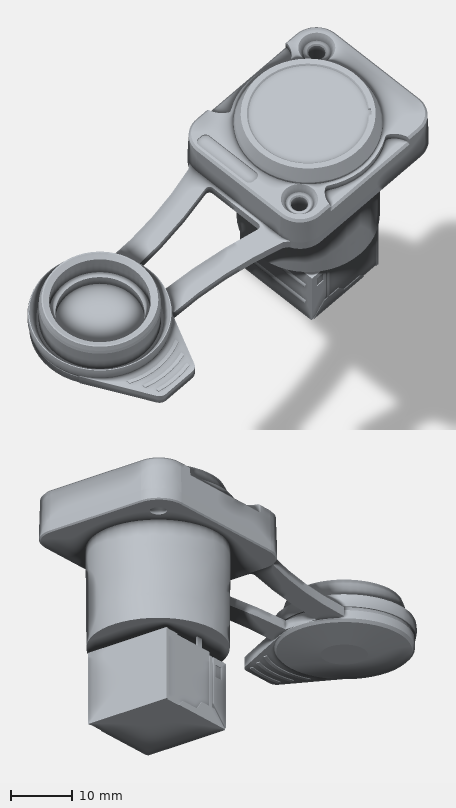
import cadquery as cq
import math


OVERALL_LENGTH = 77.75
OVERLAP = 0.8

FLANGE_X = 28.4
FLANGE_Y = 33.1
FLANGE_CORNER = 4.75
FLANGE_TOP = 7.8
FLANGE_EDGE = 0.4
FLANGE_DRAFT = 2.0
GASKET_TOP = 2.0
GASKET_EDGE = 0.2

SCREW_X = 9.5
SCREW_Y = 12.0
SCREW_R = 1.4
SCREW_SEAT_R = 2.25
SCREW_MOUTH_R = 3.0
SCREW_CONE_DEPTH = 1.2
SCREW_LEAD_IN = 0.2

RECESS_FLOOR = 6.45
RECESS_ARC_R = 12.9
RECESS_HALF_LENGTH = 9.3
RECESS_SHOULDER = (11.9, 8.5)
RECESS_INNER_Y = 7.1
RECESS_INNER_FILLET = 0.6

LABEL_X = -4.7
LABEL_Y = -14.2
LABEL_LENGTH = 12.4
LABEL_WIDTH = 2.6
LABEL_CORNER = 0.9
LABEL_DEPTH = 0.2

BEZEL_R = 12.2
BEZEL_LIP_R = 11.05
BEZEL_CONE_BASE = 8.25
BEZEL_TOP = 10.6
FACE_R = 9.8
FACE_RIM_R = 10.0
FACE_DEPTH = 0.2
KEY_REACH = 10.35
KEY_WIDTH = 1.25
KEY_ANGLE = 46
BARREL_TOP_R = 11.9
BARREL_BOTTOM_R = 11.7
BARREL_BOTTOM = -17.65

MODULE_X = 0.15
MODULE_WIDTH = 16.3
MODULE_INSET = 0.15
MODULE_BACK = 7.9
MODULE_FRONT = -7.8
MODULE_BOTTOM = -31.9
BODY_FRONT = -3.6
BODY_TOP = -19.3
BACK_LEDGE_FRONT = 4.8
BACK_LEDGE_TOP = -19.05
BACK_PLATE = 0.5
COVER_TOP = -20.0
COVER_BACK = -4.4
COVER_SIDE_BOTTOM = -28.3
COVER_CORNER = 0.3
SEAM_BAR_WIDTH = 0.5
LEG_THICKNESS = 0.3
LEG_BACK = -0.5
LEG_FRONT = -1.7
CLIP_PROFILE = [(4.6, MODULE_BOTTOM), (3.6, -30.8), (-0.15, -30.8), (-1.4, -29.15),
                (-4.8, -29.15), (-7.5, MODULE_BOTTOM)]
WINDOW_Y = -5.8
WINDOW_Z = -22.2
WINDOW_WIDTH = 1.55
WINDOW_HEIGHT = 2.2
WINDOW_DEPTH = 0.15
RIB_LENGTH = 13.05
RIB_X = 0.4
RIB_HALF_HEIGHT = 0.55
RIB_RISE = 0.2
RIB_LEVELS = (-23.5, -28.0)

CAP_R = 11.9
CAP_Y = FLANGE_Y / 2 - OVERALL_LENGTH + CAP_R
CAP_DISC_R = 11.6
CAP_NECK_R = 11.4
CAP_DOME_R = 11.1
CAP_DOME_EDGE = -0.15
CAP_DOME_LOW = -0.85
CAP_DOME_FLAT_R = 3.9
CAP_DISC_BOTTOM = 0.3
CAP_DISC_TOP = 1.8
CAP_RIM_BOTTOM = 2.4
CAP_RIM_TOP = 4.6
CAP_RIM_CROWN = 0.15
CAP_RIM_LIP_R = 11.6
CAP_GROOVE_R = 10.4
CAP_GROOVE_FLOOR = 2.65
CAP_RING_R = 10.0
CAP_RING_SHOULDER = 6.9
CAP_RING_BEVEL = (9.9, 7.5)
CAP_RING_LIP_R = 9.6
CAP_RING_LIP_INNER_R = 9.3
CAP_TOP = 8.25
CAP_BORE_R = 8.3
CAP_BORE_TOP = 7.8
CAP_LEDGE = 4.2
CAP_WELL_R = 7.3
CAP_FLOOR = 2.3

STRAP_BOTTOM = 0.4
STRAP_ROOT = (11.5, -16.0)
STRAP_OUTER = [(10.65, -17.2), (8.6, -26.05), (7.55, -39.65)]
STRAP_INNER = [(6.15, -17.2), (4.2, -27.05), (3.2, -37.8)]
STRAP_INNER_CORNER = 0.8

TAB_END_X = 17.95
TAB_END_HALF = 4.05
TAB_ROOT = (5.4, 10.35)
TAB_CORNER = 1.55
TAB_BOTTOM = 0.2
TAB_TOP = 2.1
GRIP_WIDTH = 0.6
GRIP_RISE = 0.15
GRIPS = [(13.2, 5.75), (15.1, 4.6), (16.9, 3.65)]


def box(x0, x1, y0, y1, z0, z1):
    return cq.Workplane("XY").box(x1 - x0, y1 - y0, z1 - z0, centered=False).translate((x0, y0, z0))


def rounded_block(z0, z1, draft=0):
    outline = cq.Sketch().rect(FLANGE_X, FLANGE_Y).vertices().fillet(FLANGE_CORNER)
    return cq.Workplane("XY", origin=(0, 0, z0)).placeSketch(outline).extrude(z1 - z0, taper=draft)


def side_recess():
    """Cutter on the -X side, bounded inside by an arc around the bezel."""
    inner_x = math.sqrt(RECESS_ARC_R**2 - RECESS_INNER_Y**2)
    mouth_x = FLANGE_X / 2
    shoulder_x, shoulder_y = RECESS_SHOULDER
    return (
        cq.Workplane("XY", origin=(0, 0, GASKET_TOP))
        .moveTo(-mouth_x, RECESS_HALF_LENGTH)
        .threePointArc((-shoulder_x, shoulder_y), (-inner_x, RECESS_INNER_Y))
        .threePointArc((-RECESS_ARC_R, 0), (-inner_x, -RECESS_INNER_Y))
        .threePointArc((-shoulder_x, -shoulder_y), (-mouth_x, -RECESS_HALF_LENGTH))
        .close()
        .extrude(FLANGE_TOP)
        .edges("|Z and >X")
        .fillet(RECESS_INNER_FILLET)
    )


def screw_hole(x, y):
    seat_z = FLANGE_TOP - SCREW_CONE_DEPTH
    profile = [
        (0, -OVERLAP), (SCREW_R, -OVERLAP),
        (SCREW_R, seat_z - SCREW_LEAD_IN), (SCREW_R + SCREW_LEAD_IN, seat_z),
        (SCREW_SEAT_R, seat_z),
        (SCREW_MOUTH_R, FLANGE_TOP), (SCREW_MOUTH_R, BEZEL_TOP), (0, BEZEL_TOP),
    ]
    return cq.Workplane("XZ").polyline(profile).close().revolve().translate((x, y, 0))


def flange():
    gasket = rounded_block(0, GASKET_TOP).faces("<Z").edges().chamfer(GASKET_EDGE)
    plate = rounded_block(GASKET_TOP, FLANGE_TOP, FLANGE_DRAFT).faces(">Z").edges().chamfer(FLANGE_EDGE)
    floor = rounded_block(GASKET_TOP, RECESS_FLOOR, FLANGE_DRAFT).faces(">Z").edges().chamfer(FLANGE_EDGE)
    recess = side_recess()
    plate = plate.cut(recess).cut(recess.mirror("YZ")).union(floor)
    label = (
        cq.Workplane("XY", origin=(LABEL_X, LABEL_Y, FLANGE_TOP - LABEL_DEPTH))
        .rect(LABEL_LENGTH, LABEL_WIDTH)
        .extrude(LABEL_DEPTH + OVERLAP)
        .edges("|Z")
        .fillet(LABEL_CORNER)
    )
    return gasket.union(plate).cut(label)


def barrel_and_bezel():
    face_z = BEZEL_TOP - FACE_DEPTH
    profile = [
        (0, BARREL_BOTTOM), (BARREL_BOTTOM_R, BARREL_BOTTOM), (BARREL_TOP_R, 0),
        (BARREL_TOP_R, GASKET_TOP), (BEZEL_R, GASKET_TOP), (BEZEL_R, BEZEL_CONE_BASE),
        (BEZEL_LIP_R, BEZEL_TOP), (FACE_RIM_R, BEZEL_TOP),
        (FACE_R, face_z), (0, face_z),
    ]
    solid = cq.Workplane("XZ").polyline(profile).close().revolve()
    key = box(0, KEY_REACH, -KEY_WIDTH / 2, KEY_WIDTH / 2, face_z, BEZEL_TOP + OVERLAP)
    return solid.cut(key.rotate((0, 0, 0), (0, 0, 1), KEY_ANGLE))


def module():
    left = MODULE_X - MODULE_WIDTH / 2
    right = left + MODULE_WIDTH
    core_left = left + MODULE_INSET
    core_right = right - MODULE_INSET

    solid = box(core_left, core_right, BODY_FRONT, MODULE_BACK, MODULE_BOTTOM, BODY_TOP)
    solid = solid.union(box(core_left, core_right, MODULE_FRONT, BODY_FRONT, MODULE_BOTTOM, COVER_TOP))
    solid = solid.union(
        box(core_left, core_right, BACK_LEDGE_FRONT, MODULE_BACK, MODULE_BOTTOM, BACK_LEDGE_TOP)
    )
    solid = solid.union(
        box(left, right, MODULE_BACK - BACK_PLATE, MODULE_BACK, MODULE_BOTTOM, BACK_LEDGE_TOP)
    )
    solid = solid.union(
        box(left, right, BODY_FRONT - SEAM_BAR_WIDTH, BODY_FRONT, MODULE_BOTTOM, COVER_TOP)
    )

    cover_profile = [
        (COVER_BACK, COVER_TOP), (MODULE_FRONT, COVER_TOP),
        (MODULE_FRONT, MODULE_BOTTOM + COVER_CORNER), (COVER_BACK, COVER_SIDE_BOTTOM),
    ]
    for profile in (cover_profile, CLIP_PROFILE):
        slab = cq.Workplane("YZ", origin=(left, 0, 0)).polyline(profile).close().extrude(MODULE_WIDTH)
        solid = solid.union(slab)

    for x in (left, right):
        window = cq.Workplane("XY").box(2 * WINDOW_DEPTH, WINDOW_WIDTH, WINDOW_HEIGHT)
        solid = solid.cut(window.translate((x, WINDOW_Y, WINDOW_Z)))

    for z in RIB_LEVELS:
        rib = (
            cq.Workplane("YZ", origin=(RIB_X - RIB_LENGTH / 2, 0, 0))
            .moveTo(MODULE_FRONT, z + RIB_HALF_HEIGHT)
            .threePointArc((MODULE_FRONT - RIB_RISE, z), (MODULE_FRONT, z - RIB_HALF_HEIGHT))
            .close()
            .extrude(RIB_LENGTH)
        )
        solid = solid.union(rib)

    for x in (core_left, core_right - LEG_THICKNESS):
        leg = box(x, x + LEG_THICKNESS, LEG_FRONT, LEG_BACK, BODY_TOP - OVERLAP, BARREL_BOTTOM + OVERLAP)
        solid = solid.union(leg)
    return solid


def strap_outline(side):
    """Open wire along one side arc, across the cap end and back along the mirrored arc."""
    start, middle, end = side
    return (
        cq.Workplane("XY", origin=(0, 0, STRAP_BOTTOM))
        .moveTo(*start)
        .threePointArc(middle, end)
        .lineTo(-end[0], end[1])
        .threePointArc((-middle[0], middle[1]), (-start[0], start[1]))
    )


def straps():
    thickness = GASKET_TOP - STRAP_BOTTOM
    root_x, root_y = STRAP_ROOT
    web = (
        strap_outline(STRAP_OUTER)
        .lineTo(-root_x, root_y)
        .lineTo(root_x, root_y)
        .close()
        .extrude(thickness)
    )
    window = strap_outline(STRAP_INNER).close().extrude(thickness)
    return web.cut(window.edges("|Z and >Y").fillet(STRAP_INNER_CORNER))


def pull_tab():
    root_x, root_y = TAB_ROOT
    tab = (
        cq.Workplane("XY", origin=(0, 0, TAB_BOTTOM))
        .polyline([(0, root_y), (root_x, root_y), (TAB_END_X, TAB_END_HALF),
                   (TAB_END_X, -TAB_END_HALF), (root_x, -root_y), (0, -root_y)])
        .close()
        .extrude(TAB_TOP - TAB_BOTTOM)
        .edges("|Z and >X")
        .fillet(TAB_CORNER)
    )
    for radius, half_length in GRIPS:
        grip = (
            cq.Workplane("XY", origin=(0, 0, TAB_BOTTOM - GRIP_RISE))
            .circle(radius + GRIP_WIDTH / 2)
            .circle(radius - GRIP_WIDTH / 2)
            .extrude(TAB_TOP - TAB_BOTTOM + 2 * GRIP_RISE)
            .intersect(box(0, TAB_END_X, -half_length, half_length, -OVERLAP, FLANGE_TOP))
        )
        tab = tab.union(grip)
    return tab


def cap():
    rim_r = CAP_R - CAP_RIM_CROWN
    rim_middle = (CAP_RIM_TOP + CAP_RIM_BOTTOM) / 2
    inner_points = [
        (CAP_RIM_LIP_R, CAP_RIM_TOP), (CAP_GROOVE_R, CAP_GROOVE_FLOOR),
        (CAP_RING_R, CAP_GROOVE_FLOOR), (CAP_RING_R, CAP_RING_SHOULDER),
        CAP_RING_BEVEL, (CAP_RING_LIP_R, CAP_TOP), (CAP_RING_LIP_INNER_R, CAP_TOP),
        (CAP_BORE_R, CAP_BORE_TOP), (CAP_BORE_R, CAP_LEDGE),
        (CAP_WELL_R, CAP_LEDGE), (CAP_WELL_R, CAP_FLOOR), (0, CAP_FLOOR),
    ]
    solid = (
        cq.Workplane("XZ")
        .moveTo(0, CAP_DOME_LOW)
        .lineTo(CAP_DOME_FLAT_R, CAP_DOME_LOW)
        .lineTo(CAP_DOME_R, CAP_DOME_EDGE)
        .lineTo(CAP_DISC_R, CAP_DISC_BOTTOM)
        .lineTo(CAP_DISC_R, CAP_DISC_TOP)
        .lineTo(CAP_NECK_R, CAP_DISC_TOP)
        .lineTo(CAP_NECK_R, CAP_RIM_BOTTOM)
        .lineTo(rim_r, CAP_RIM_BOTTOM)
        .threePointArc((CAP_R, rim_middle), (rim_r, CAP_RIM_TOP))
        .polyline(inner_points, includeCurrent=True)
        .close()
        .revolve()
    )
    return solid.union(pull_tab()).translate((0, CAP_Y, 0))


result = flange().union(barrel_and_bezel()).union(module()).union(straps()).union(cap())
for side in (-1, 1):
    result = result.cut(screw_hole(side * SCREW_X, -side * SCREW_Y))